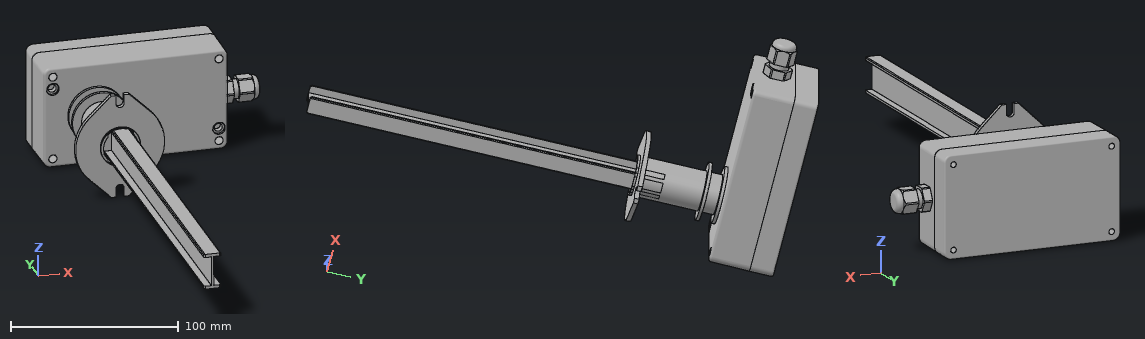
import cadquery as cq
import math


box_width = 115.0
box_height = 65.0
box_depth = 40.0
lid_depth = 14.7
box_left = -32.7
corner_radius = 4.7
base_taper = 0.7
front_edge_radius = 1.8
back_edge_radius = 1.2

screw_left = -26.8
screw_right = 76.5
screw_z = 26.5
base_screw_bore = 5.0
lid_screw_bore = 3.5
blind_z = 18.5
blind_bore = 5.0
blind_bore_depth = 6.0
blind_counterbore = 7.6
blind_counterbore_depth = 1.8

gland_y = 13.8
gland_length = 22.0
gland_hex = 15.0
gland_hex_corners = 16.8
gland_collar_length = 5.3
gland_neck_diameter = 12.0
gland_neck_length = 3.5
gland_nut_length = 9.5
gland_nut_bevel = 1.0
gland_cap_radius = 3.0

tube_diameter = 24.7
tube_length = 54.0
tube_bore = 21.5
tube_bore_depth = 17.7
relief_diameter = 23.5
relief_width = 16.0
collar_thickness = 2.0
seat_collar_diameter = 35.0
second_collar_diameter = 36.0
second_collar_offset = 9.7

beam_end = 254.2
beam_width = 10.5
beam_height = 22.7
beam_web = 1.5
beam_flange = 2.0
beam_edge_chamfer = 0.5
beam_end_chamfer = 1.0

flange_offset = 49.7
flange_thickness = 3.0
flange_radius = 27.7
flange_height = 66.0
flange_tip_width = 11.2
slot_width = 5.0
slot_bottom = 25.0

box_center_x = box_left + box_width / 2
box_right = box_left + box_width
seam_y = box_depth - lid_depth
bore_floor_y = tube_bore_depth - tube_length
screw_points = [(x, z) for x in (screw_left, screw_right) for z in (-screw_z, screw_z)]
blind_points = [(screw_left, blind_z), (screw_right, -blind_z)]


def plane_at(y):
    """Plane across the probe axis at the given Y; extrusions from it run towards -Y."""
    return cq.Workplane("XZ", origin=(0, y, 0))


def disc(diameter, y, length):
    """Cylinder on the probe axis that starts at the given Y."""
    return plane_at(y).circle(diameter / 2).extrude(length)


def cylinders(points, diameter, y, length):
    """Equal cylinders along the probe direction at the given (X, Z) points."""
    return plane_at(y).pushPoints(points).circle(diameter / 2).extrude(length)


def box_blank(length, taper):
    """Rounded box that starts at the seam between base and lid; a negative length runs to the back."""
    outline = cq.Sketch().rect(box_width, box_height).vertices().fillet(corner_radius)
    return plane_at(seam_y).center(box_center_x, 0).placeSketch(outline).extrude(length, taper=taper)


def make_base():
    base = box_blank(seam_y, base_taper).faces("<Y").edges().fillet(front_edge_radius)
    base = base.cut(cylinders(screw_points, base_screw_bore, seam_y, seam_y))
    base = base.cut(cylinders(blind_points, blind_bore, blind_bore_depth, blind_bore_depth))
    return base.cut(cylinders(blind_points, blind_counterbore, blind_counterbore_depth, blind_counterbore_depth))


def make_lid():
    lid = box_blank(-lid_depth, 0).faces(">Y").edges().fillet(back_edge_radius)
    return lid.cut(cylinders(screw_points, lid_screw_bore, box_depth, lid_depth))


def gland_plane(x):
    return cq.Workplane("YZ", origin=(x, gland_y, 0))


def turned_hexagon(x, length, bevel=0.0):
    """Hexagonal prism with its corners turned down to a cylinder, and its +X end bevelled if asked."""
    prism = gland_plane(x).polygon(6, gland_hex / math.cos(math.pi / 6)).extrude(length)
    envelope = gland_plane(x).circle(gland_hex_corners / 2).extrude(length)
    if bevel > 0:
        envelope = envelope.faces(">X").edges().chamfer(bevel)
    return prism.intersect(envelope)


def make_gland(base):
    neck_x = box_right + gland_collar_length
    nut_x = neck_x + gland_neck_length
    tip_x = box_right + gland_length
    root_x = box_right - front_edge_radius
    collar = turned_hexagon(root_x, neck_x - root_x).cut(base)
    neck = gland_plane(neck_x).circle(gland_neck_diameter / 2).extrude(gland_neck_length)
    nut = turned_hexagon(nut_x, gland_nut_length, gland_nut_bevel)
    cap = gland_plane(nut_x).circle(gland_hex / 2).extrude(tip_x - nut_x)
    cap = cap.faces(">X").edges().fillet(gland_cap_radius)
    return collar.union(neck).union(nut).union(cap)


def make_tube():
    tube = disc(tube_diameter, 0, tube_length)
    tube = tube.union(disc(seat_collar_diameter, 0, collar_thickness))
    tube = tube.union(disc(second_collar_diameter, -second_collar_offset, collar_thickness))
    tube = tube.cut(disc(tube_bore, bore_floor_y, tube_bore_depth))
    relief_band = plane_at(bore_floor_y).rect(relief_width, relief_diameter).extrude(tube_bore_depth)
    relief = disc(relief_diameter, bore_floor_y, tube_bore_depth).intersect(relief_band)
    return tube.cut(relief)


def make_beam():
    length = beam_end + bore_floor_y
    beam = plane_at(bore_floor_y).rect(beam_width, beam_height).extrude(length)
    beam = beam.edges("|Y").chamfer(beam_edge_chamfer)
    groove_depth = (beam_width - beam_web) / 2
    groove_x = (beam_width - groove_depth) / 2
    grooves = (
        plane_at(bore_floor_y).pushPoints([(-groove_x, 0), (groove_x, 0)])
        .rect(groove_depth, beam_height - 2 * beam_flange).extrude(length)
    )
    beam = beam.cut(grooves)
    plan = (
        cq.Workplane("XY", origin=(0, bore_floor_y - length / 2, 0))
        .rect(beam_width, length).extrude(beam_height / 2, both=True)
        .edges("|Z and <Y").chamfer(beam_end_chamfer)
    )
    return beam.intersect(plan)


def make_flange():
    tip_x = flange_tip_width / 2
    tip_z = flange_height / 2
    tangent_angle = math.atan2(tip_z, tip_x) - math.acos(flange_radius / math.hypot(tip_x, tip_z))
    tangent_x = flange_radius * math.cos(tangent_angle)
    tangent_z = flange_radius * math.sin(tangent_angle)
    flange = (
        plane_at(-flange_offset)
        .moveTo(tip_x, tip_z)
        .lineTo(tangent_x, tangent_z)
        .threePointArc((flange_radius, 0), (tangent_x, -tangent_z))
        .lineTo(tip_x, -tip_z)
        .lineTo(-tip_x, -tip_z)
        .lineTo(-tangent_x, -tangent_z)
        .threePointArc((-flange_radius, 0), (-tangent_x, tangent_z))
        .lineTo(-tip_x, tip_z)
        .close()
        .extrude(flange_thickness)
    )
    slot_length = 2 * (tip_z - slot_bottom)
    slot_z = slot_bottom + slot_length / 2
    slots = (
        plane_at(-flange_offset).pushPoints([(0, -slot_z), (0, slot_z)])
        .slot2D(slot_length, slot_width, 90).extrude(flange_thickness)
    )
    bore = disc(tube_diameter, -flange_offset, flange_thickness)
    return flange.cut(slots).cut(bore)


base = make_base()
lid = make_lid()
gland = make_gland(base)
probe = make_tube().union(make_beam()).union(make_flange())

result = cq.Compound.makeCompound([base.val(), lid.val(), gland.val(), probe.val()])